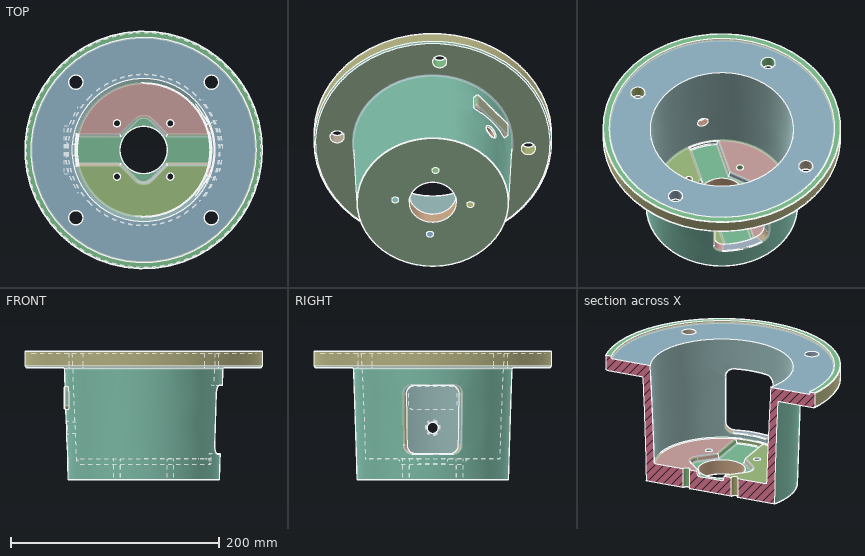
import cadquery as cq
import math

flange_dia = 228.5
total_height = 124.0
flange_thickness = 16.2
flange_bottom_edge = 1.5
flange_top_edge = 0.5

register_dia = 216.7
register_depth = 2.5
register_corner_radius = 1.0

housing_top_dia = 152.7
housing_foot_dia = 145.8
foot_edge = 0.5
neck_fillet = 1.0

cavity_top_dia = 137.6
cavity_floor_dia = 129.5
floor_height = 20.0
floor_fillet = 1.0

channel_bottom_height = 14.9
channel_width = 29.0
channel_draft = 15.0
channel_fillet = 1.0
diamond_across_corners = 74.3
diamond_corner_radius = 11.0

shaft_bore_dia = 45.3
flange_hole_dia = 13.5
flange_hole_spacing = 130.3
floor_hole_dia = 6.6
floor_hole_spacing = 51.2

window_width = 54.2
window_bottom = 25.4
window_top = 90.8
window_corner_radius = 8.0
window_edge = 0.7

side_hole_inner_dia = 10.3
side_hole_outer_dia = 12.5
side_hole_height = 50.0
side_hole_mouth_dia = 15.0
nameplate_width = 46.5
nameplate_bottom = 68.0
nameplate_top = 89.8
nameplate_corner_radius = 3.5
nameplate_edge = 1.1
nameplate_reach = 76.4

flange_bottom = total_height - flange_thickness
register_floor = total_height - register_depth

window_start = cavity_floor_dia / 4


def cylinder(diameter, bottom, top):
    return cq.Workplane("XY", origin=(0, 0, bottom)).circle(diameter / 2).extrude(top - bottom)


def cone(bottom_dia, top_dia, bottom, top):
    lower = cq.Workplane("XY", origin=(0, 0, bottom)).circle(bottom_dia / 2)
    return lower.workplane(offset=top - bottom).circle(top_dia / 2).loft(ruled=True)


def four_holes(diameter, spacing):
    points = cq.Workplane("XY").rect(spacing, spacing, forConstruction=True).vertices()
    return points.circle(diameter / 2).extrude(total_height)


def rounded_block_along_x(start, end, width, bottom, top, corner_radius):
    """Block from X = start to X = end whose four long edges are rounded."""
    block = cq.Workplane("XY").box(end - start, width, top - bottom)
    block = block.edges("|X").fillet(corner_radius)
    return block.translate(((start + end) / 2, 0, (bottom + top) / 2))


def edges_at_height(solid, height, reach):
    """Edges in one horizontal plane whose centres are within reach of the axis in X and in Y."""
    tolerance = 0.02
    low_corner = (-reach, -reach, height - tolerance)
    high_corner = (reach, reach, height + tolerance)
    return solid.edges(cq.selectors.BoxSelector(low_corner, high_corner))


def flange():
    disc = cylinder(flange_dia, flange_bottom, total_height)
    disc = disc.faces("<Z").edges().chamfer(flange_bottom_edge)
    return disc.faces(">Z").edges().chamfer(flange_top_edge)


def register():
    recess = cylinder(register_dia, register_floor, total_height)
    return recess.faces("<Z").edges().fillet(register_corner_radius)


def housing():
    body = cone(housing_foot_dia, housing_top_dia, 0, flange_bottom)
    return body.faces("<Z").edges().chamfer(foot_edge)


def cavity(bottom):
    """Tapered cavity from the register floor down to the given height, with a rounded foot."""
    wall_slope = (cavity_top_dia - cavity_floor_dia) / (register_floor - floor_height)
    bottom_dia = cavity_floor_dia - wall_slope * (floor_height - bottom)
    space = cone(bottom_dia, cavity_top_dia, bottom, register_floor)
    return space.faces("<Z").edges().fillet(floor_fillet)


def channel():
    """Straight slot joined with a rounded diamond, ending at the cavity wall."""
    depth = floor_height - channel_bottom_height
    diamond_side = diamond_across_corners / math.sqrt(2)
    diamond_outline = (
        cq.Sketch()
        .rect(diamond_side, diamond_side, angle=45)
        .vertices()
        .fillet(diamond_corner_radius)
    )
    top = cq.Workplane("XY", origin=(0, 0, floor_height))
    slot = top.rect(2 * flange_dia, channel_width).extrude(-depth, taper=channel_draft)
    diamond = top.placeSketch(diamond_outline).extrude(-depth, taper=channel_draft)

    plate = cq.Workplane("XY").rect(flange_dia, flange_dia).extrude(floor_height)
    pads = plate.cut(slot).cut(diamond)
    pads = edges_at_height(pads, channel_bottom_height, housing_top_dia / 2).fillet(channel_fillet)
    pads = edges_at_height(pads, floor_height, housing_top_dia / 2).fillet(channel_fillet)

    space = cylinder(flange_dia, channel_bottom_height, floor_height).cut(pads)
    return space.intersect(cavity(channel_bottom_height))


def nameplate():
    plate = rounded_block_along_x(
        -nameplate_reach, -cavity_top_dia / 2, nameplate_width,
        nameplate_bottom, nameplate_top, nameplate_corner_radius,
    )
    return plate.faces("<X").edges().fillet(nameplate_edge)


def window():
    """Opening with radial jambs, each in a plane through the housing axis."""
    half_width = window_width / 2
    jamb_slope = half_width / math.sqrt((housing_foot_dia / 2) ** 2 - half_width**2)
    start = window_start
    end = flange_dia / 2
    wedge = (
        cq.Workplane("XY", origin=(0, 0, window_bottom))
        .moveTo(start, -start * jamb_slope)
        .lineTo(end, -end * jamb_slope)
        .lineTo(end, end * jamb_slope)
        .lineTo(start, start * jamb_slope)
        .close()
        .extrude(window_top - window_bottom)
    )
    return wedge.edges("not(|Z or |Y)").fillet(window_corner_radius)


def side_hole():
    """Tapered hole through the -X wall with a chamfered mouth."""
    outer_wall = (
        housing_foot_dia + (housing_top_dia - housing_foot_dia) * side_hole_height / flange_bottom
    ) / 2
    chamfer = (side_hole_mouth_dia - side_hole_outer_dia) / 2
    profile = (
        cq.Workplane("XY")
        .lineTo(-flange_dia / 2, 0)
        .lineTo(-flange_dia / 2, side_hole_mouth_dia / 2)
        .lineTo(-outer_wall, side_hole_mouth_dia / 2)
        .lineTo(-outer_wall + chamfer, side_hole_outer_dia / 2)
        .lineTo(-cavity_floor_dia / 2, side_hole_inner_dia / 2)
        .lineTo(0, side_hole_inner_dia / 2)
        .close()
    )
    return profile.revolve(360, (0, 0, 0), (1, 0, 0)).translate((0, 0, side_hole_height))


body = housing().union(flange())
neck_edge = edges_at_height(body, flange_bottom, housing_top_dia / 2).edges(cq.selectors.RadiusNthSelector(0))
body = neck_edge.fillet(neck_fillet).union(nameplate())

body = (
    body.cut(register())
    .cut(cavity(floor_height))
    .cut(channel())
    .cut(cylinder(shaft_bore_dia, 0, floor_height))
    .cut(four_holes(flange_hole_dia, flange_hole_spacing))
    .cut(four_holes(floor_hole_dia, floor_hole_spacing))
    .cut(side_hole())
    .cut(window())
)

window_rims = cq.selectors.BoxSelector(
    (window_start, -window_width, window_bottom - window_edge),
    (flange_dia / 2, window_width, window_top + window_edge),
)
result = body.edges(window_rims).fillet(window_edge).solids()